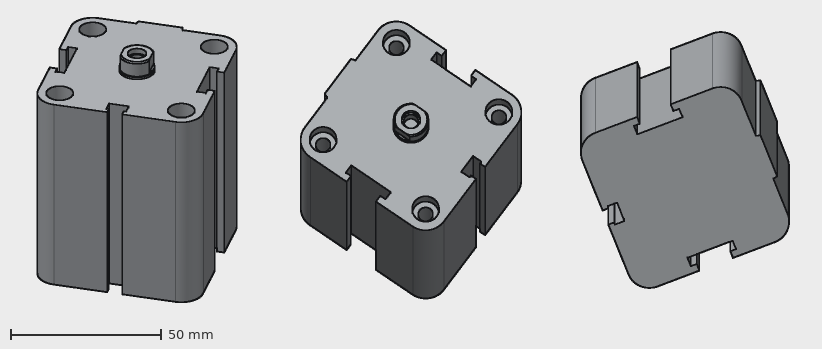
import cadquery as cq

side = 57.0
half_side = side / 2
housing_height = 70.5
corner_radius = 7.5

pad_height = 1.5
pad_base_width = 16.0
pad_top_width = 15.2

side_slot_opening = 12.0
side_slot_inner = 16.2
side_slot_lip = 2.5
side_slot_depth = 5.6
front_slot_opening = 5.2
front_slot_inner = 6.8
front_slot_lip = 2.1
front_slot_depth = 5.5

mount_spacing = side - 2 * corner_radius
counterbore_diameter = 9.0
counterbore_depth = 5.5
thread_core_diameter = 4.92
mount_hole_depth = 20.0

rod_length = 6.5
collar_diameter = 12.0
collar_height = 0.8
neck_diameter = 11.7
neck_start = 1.0
tip_chamfer_height = 0.5
tip_chamfer_width = 0.5
flats_width = 10.0
flats_start = 1.5
rod_recess_diameter = 6.2
rod_recess_depth = 2.0


def t_slot(opening, inner, lip, depth):
    """T-slot cutter for the -Y face; it opens towards -Y and runs the full height."""
    throat = (
        cq.Workplane("XY")
        .rect(opening, 2 * depth)
        .extrude(housing_height)
        .translate((0, -half_side, 0))
    )
    undercut_depth = depth - lip
    undercut = (
        cq.Workplane("XY")
        .rect(inner, undercut_depth)
        .extrude(housing_height)
        .translate((0, -half_side + lip + undercut_depth / 2, 0))
    )
    return throat.union(undercut)


def make_housing():
    body = cq.Workplane("XY").rect(side, side).extrude(housing_height)
    body = body.edges("|Z").fillet(corner_radius)

    pad = (
        cq.Workplane("XY")
        .moveTo(-pad_base_width / 2, 0)
        .lineTo(pad_base_width / 2, 0)
        .lineTo(pad_base_width / 2, half_side)
        .lineTo(pad_top_width / 2, half_side + pad_height)
        .lineTo(-pad_top_width / 2, half_side + pad_height)
        .lineTo(-pad_base_width / 2, half_side)
        .close()
        .extrude(housing_height)
    )
    body = body.union(pad)

    body = body.cut(t_slot(front_slot_opening, front_slot_inner, front_slot_lip, front_slot_depth))
    side_slot = t_slot(side_slot_opening, side_slot_inner, side_slot_lip, side_slot_depth)
    for angle in (90, -90):
        body = body.cut(side_slot.rotate((0, 0, 0), (0, 0, 1), angle))

    return (
        body.faces(">Z")
        .workplane(origin=(0, 0, housing_height))
        .rect(mount_spacing, mount_spacing, forConstruction=True)
        .vertices()
        .cboreHole(thread_core_diameter, counterbore_diameter, counterbore_depth, mount_hole_depth)
    )


def make_rod():
    neck_radius = neck_diameter / 2
    collar_radius = collar_diameter / 2
    rod = (
        cq.Workplane("XZ")
        .moveTo(0, 0)
        .lineTo(collar_radius, 0)
        .lineTo(collar_radius, collar_height)
        .lineTo(neck_radius, neck_start)
        .lineTo(neck_radius, rod_length - tip_chamfer_height)
        .lineTo(neck_radius - tip_chamfer_width, rod_length)
        .lineTo(0, rod_length)
        .close()
        .revolve(360, (0, 0, 0), (0, 1, 0))
    )

    flats_height = rod_length - flats_start
    between_flats = cq.Workplane("XY").rect(flats_width, collar_diameter).extrude(flats_height)
    flats_cutter = cq.Workplane("XY").circle(collar_diameter).extrude(flats_height).cut(between_flats)
    rod = rod.cut(flats_cutter.translate((0, 0, flats_start)))

    rod = (
        rod.faces(">Z")
        .workplane(origin=(0, 0, rod_length))
        .cboreHole(thread_core_diameter, rod_recess_diameter, rod_recess_depth)
    )
    return rod.translate((0, 0, housing_height))


housing = make_housing()
rod = make_rod()

result = cq.Compound.makeCompound([housing.val(), rod.val()])